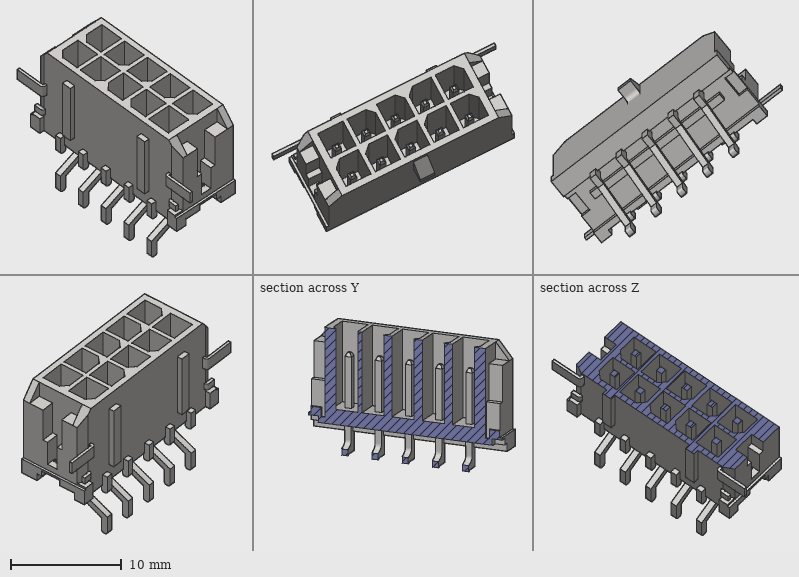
import cadquery as cq


depth = 6.8
height = 9.9
core_half = 7.97
end_half = 9.33
end_height = 8.27
front_wall = 1.02
back_wall = 0.75
strip_half = 8.35
strip_depth = 0.5
standoff = 0.55

base_half = 9.58
base_height = 1.6
corner_height = 1.81
tunnel_front = 0.63
tunnel_back = 4.98
tunnel_height = 0.77
recess_half = 1.05
recess_height = 1.38
keel_width = 0.72
keel_half = 7.47

mid_y = depth / 2
wide_slot = 2.2
wide_slot_floor = 4.8
narrow_slot = 1.13
narrow_slot_floor = 2.26
floor_hole_length = 0.65
floor_hole_width = 0.85
floor_hole_neck = 0.32

pitch = 3.0
columns = 5
cavity = 2.55
cavity_floor = 2.26
key_cut = 0.65
pin = 0.63
pin_top = 7.47
pin_tip = 0.3
pin_taper = 0.35
back_keys = ["L", "R", "R", "R", "R"]
front_keys = ["L", "R", "L", "L", ""]

tail = 0.7
tail_bottom = -5.5
tail_knee = -3.87
tail_heel = -1.9
heel_run = 1.13
heel_radius = 0.57
heel_inner_rise = 0.82
knee_rise = 0.4
front_tail_top = 1.18
front_tail_bottom = -0.77
tail_round = 0.27

rib_width = 1.02
rib_x = 4.87
latch_width = 1.45
latch_reach = 1.43
latch_top = 9.3
latch_nose_top = 7.72
latch_bottom = 6.98
latch_radius = 0.55
tab_half = 11.32
tab_bottom = 4.7
tab_top = 5.93
tab_thick = 0.3
small_tab_outer = 9.25
small_tab_inner = 8.18
small_tab_bottom = 2.1
small_tab_top = 2.79
small_tab_thick = 0.35
tab_bend = 0.35

row_y = [mid_y - pitch / 2, mid_y + pitch / 2]
column_x = [(i - (columns - 1) / 2) * pitch for i in range(columns)]


def box(x0, x1, y0, y1, z0, z1):
    return cq.Workplane("XY").box(x1 - x0, y1 - y0, z1 - z0, centered=False).translate((x0, y0, z0))


def across(profile, width, x):
    """Extrude a closed YZ outline symmetrically about the given X."""
    return profile.extrude(width / 2, both=True).translate((x, 0, 0))


def both_ends(left):
    """The left-end feature together with its mirror image at the right end."""
    return left.union(left.mirror("YZ"))


def end_wall(y0, y1):
    """Full-length wall whose upper corners slope down to the end blocks."""
    points = [(-end_half, 0), (end_half, 0), (end_half, end_height), (core_half, height),
              (-core_half, height), (-end_half, end_height)]
    return cq.Workplane("XZ").polyline(points).close().extrude(y0 - y1).translate((0, y0, 0))


def corner_bevel():
    """Material taken off the vertical front corner above the corner foot."""
    points = [(-strip_half, 0), (-end_half, 0), (-end_half, strip_depth)]
    return (cq.Workplane("XY").workplane(offset=corner_height).polyline(points).close()
            .extrude(height - corner_height))


def end_slot():
    """Stepped slot in the left end block, with a blind hole in its floor."""
    wide = box(-end_half, -core_half, mid_y - wide_slot / 2, mid_y + wide_slot / 2,
               wide_slot_floor, end_height)
    narrow = box(-end_half, -core_half, mid_y - narrow_slot / 2, mid_y + narrow_slot / 2,
                 narrow_slot_floor, wide_slot_floor)
    hole_start = -core_half - floor_hole_length
    hole_step = hole_start + floor_hole_neck
    hole = box(hole_start, -core_half, mid_y - floor_hole_width / 2, mid_y + floor_hole_width / 2,
               recess_height, narrow_slot_floor)
    hole_mouth = box(hole_step, -core_half, mid_y - narrow_slot / 2, mid_y + narrow_slot / 2,
                     recess_height, narrow_slot_floor)
    return wide.union(narrow).union(hole).union(hole_mouth)


def cavity_cut(x, y, keys):
    """Square contact cavity with its keyed front corners left uncut."""
    h = cavity / 2
    left_corner = [(-h, key_cut - h), (key_cut - h, -h)] if "L" in keys else [(-h, -h)]
    right_corner = [(h - key_cut, -h), (h, key_cut - h)] if "R" in keys else [(h, -h)]
    points = [(h, h), (-h, h)] + left_corner + right_corner
    return (cq.Workplane("XY").workplane(offset=cavity_floor).polyline(points).close()
            .extrude(height - cavity_floor).translate((x, y, 0)))


def contact_pin(x, y):
    shaft = (cq.Workplane("XY").workplane(offset=tunnel_height).rect(pin, pin)
             .extrude(pin_top - pin_taper - tunnel_height))
    tip = (cq.Workplane("XY").workplane(offset=pin_top - pin_taper).rect(pin, pin)
           .workplane(offset=pin_taper).rect(pin_tip, pin_tip).loft(combine=True))
    return shaft.union(tip).translate((x, y, 0))


def back_tail(x):
    """Tail that drops from the back row and slopes forward to a vertical foot."""
    back = row_y[1] + tail / 2
    foot_back = tail - standoff
    knee_top = tail_knee + knee_rise
    inner_z = tail_heel + heel_inner_rise
    points = [(back, cavity_floor), (back, tail_heel), (back - heel_run, tail_heel),
              (foot_back, tail_knee), (foot_back, tail_bottom), (-standoff, tail_bottom),
              (-standoff, knee_top), (back - tail, inner_z), (back - tail, cavity_floor)]
    body = across(cq.Workplane("YZ").polyline(points).close(), pin, x)
    inner_bend = cq.selectors.NearestToPointSelector((x, back - tail, inner_z))
    body = body.edges(inner_bend).fillet(heel_radius)
    return body.faces("<Z").edges("|X").fillet(tail_round)


def front_tail(x):
    """Short foot in front of the housing, joined to the front pin inside the floor."""
    foot = box(x - pin / 2, x + pin / 2, -standoff, tail - standoff, front_tail_bottom, front_tail_top)
    foot = foot.faces("<Z").edges("|X").fillet(tail_round)
    link = box(x - pin / 2, x + pin / 2, -standoff, row_y[0], tunnel_height, front_tail_top)
    return foot.union(link)


def latch():
    profile = (cq.Workplane("YZ").moveTo(depth, latch_top)
               .lineTo(depth + latch_reach, latch_nose_top)
               .lineTo(depth + latch_reach, latch_bottom)
               .lineTo(depth + latch_radius, latch_bottom)
               .radiusArc((depth, latch_bottom - latch_radius), -latch_radius).close())
    return across(profile, latch_width, 0)


def bent_tab(x_outer, x_inner, front, thick, z0, z1):
    """Flat strip with its inner end bent back into the housing."""
    strip = box(-x_outer, -x_inner, front, front + thick, z0, z1)
    leg = box(-x_inner - thick, -x_inner, front, front_wall, z0, z1)
    bend_corner = cq.selectors.NearestToPointSelector((-x_inner, front, (z0 + z1) / 2))
    return strip.union(leg).edges(bend_corner).fillet(tab_bend)


housing = box(-core_half, core_half, 0, depth, 0, height)
housing = housing.union(box(-end_half, end_half, 0, depth, 0, end_height))
housing = housing.union(end_wall(0, front_wall)).union(end_wall(depth - back_wall, depth))
housing = housing.cut(both_ends(corner_bevel()))

housing = housing.union(box(-base_half, base_half, 0, depth, 0, base_height))
corner_foot = box(-base_half, -strip_half, -standoff, 0, 0, base_height)
corner_foot = corner_foot.union(box(-end_half, -strip_half, -standoff, strip_depth, 0, corner_height))
housing = housing.union(both_ends(corner_foot))
housing = housing.cut(box(-base_half, base_half, tunnel_front, tunnel_back, 0, tunnel_height))
end_recess = box(-base_half, -core_half - floor_hole_length, mid_y - recess_half, mid_y + recess_half,
                 tunnel_height, recess_height)
housing = housing.cut(both_ends(end_recess))
housing = housing.cut(both_ends(end_slot()))
housing = housing.union(box(-keel_half, keel_half, mid_y - keel_width / 2, mid_y + keel_width / 2,
                            0, tunnel_height))

for side in (-1, 1):
    rib_left = side * rib_x - rib_width / 2
    housing = housing.union(box(rib_left, rib_left + rib_width, -standoff, 0, corner_height, end_height))
housing = housing.union(latch())

for y, row_keys in zip(row_y, (front_keys, back_keys)):
    for x, keys in zip(column_x, row_keys):
        housing = housing.cut(cavity_cut(x, y, keys)).union(contact_pin(x, y))
for x in column_x:
    housing = housing.union(front_tail(x)).union(back_tail(x))

tab = bent_tab(tab_half, core_half, -standoff, tab_thick, tab_bottom, tab_top)
small_tab = bent_tab(small_tab_outer, small_tab_inner, -small_tab_thick, small_tab_thick,
                     small_tab_bottom, small_tab_top)
result = housing.union(both_ends(tab)).union(both_ends(small_tab))